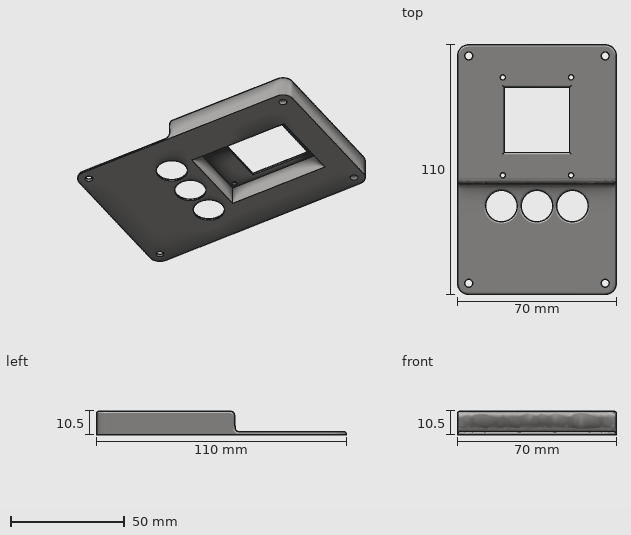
import cadquery as cq

width = 70.0
length = 110.0
height = 10.5
thin_height = 1.4
corner_radius = 5.0
edge_radius = 1.0

step_top_y = -3.8
step_foot_y = -7.9
step_top_overshoot = 4.5
step_foot_overshoot = 4.5

mount_diameter = 3.4

window_size = 28.6
window_y = 21.9
screw_diameter = 2.2
screw_spacing_x = 30.0
screw_spacing_y = 43.1
board_y = 19.0
board_margin = 2.2
display_skin = 1.5

button_diameter = 13.8
button_spacing = 15.6
button_y = -16.1
button_count = 3


def make_body():
    """Stepped plate with rounded corners and a rounded upper rim."""
    step_curve = [
        (step_top_y, height),
        (step_top_y - step_top_overshoot, height),
        (step_foot_y + step_foot_overshoot, thin_height),
        (step_foot_y, thin_height),
    ]
    profile = (
        cq.Workplane("YZ", origin=(-width / 2, 0, 0))
        .moveTo(length / 2, 0)
        .lineTo(length / 2, height)
        .lineTo(step_top_y, height)
        .bezier(step_curve)
        .lineTo(-length / 2, thin_height)
        .lineTo(-length / 2, 0)
        .close()
    )
    body = profile.extrude(width)
    body = body.edges("|Z").edges("<Y or >Y").fillet(corner_radius)
    return body.faces(">Z").edges(">Y").fillet(edge_radius)


def rounded_button_cutter():
    """Round hole that flares outward to the thin plate's upper face."""
    radius = button_diameter / 2
    rim = radius + edge_radius
    return (
        cq.Workplane("XZ")
        .lineTo(radius, 0)
        .lineTo(radius, thin_height - edge_radius)
        .radiusArc((rim, thin_height), edge_radius)
        .lineTo(0, thin_height)
        .close()
        .revolve(360, (0, 0, 0), (0, 1, 0))
    )


def cut_display(body):
    """Board pocket from below, window with a rounded rim, and screw holes."""
    pocket_depth = height - display_skin
    pocket = (
        cq.Workplane("XY")
        .center(0, board_y)
        .rect(screw_spacing_x + 2 * board_margin, screw_spacing_y + 2 * board_margin)
        .extrude(pocket_depth)
    )
    window = cq.Workplane("XY").center(0, window_y).rect(window_size, window_size).extrude(height)
    screws = (
        cq.Workplane("XY")
        .center(0, board_y)
        .rect(screw_spacing_x, screw_spacing_y, forConstruction=True)
        .vertices()
        .circle(screw_diameter / 2)
        .extrude(height)
    )
    body = body.cut(window)
    reach = window_size / 2 + edge_radius
    rim_box = cq.selectors.BoxSelector(
        (-reach, window_y - reach, height - edge_radius / 2),
        (reach, window_y + reach, height + edge_radius / 2),
    )
    body = body.edges(rim_box).fillet(edge_radius)
    return body.cut(pocket).cut(screws)


def cut_buttons(body):
    """Evenly spaced row of button holes centred across the width."""
    for index in range(button_count):
        x = (index - (button_count - 1) / 2) * button_spacing
        body = body.cut(rounded_button_cutter().translate((x, button_y, 0)))
    return body


def cut_mount_holes(body):
    """Through hole at the centre of each rounded corner."""
    holes = (
        cq.Workplane("XY")
        .rect(width - 2 * corner_radius, length - 2 * corner_radius, forConstruction=True)
        .vertices()
        .circle(mount_diameter / 2)
        .extrude(height)
    )
    return body.cut(holes)


result = cut_mount_holes(cut_buttons(cut_display(make_body())))